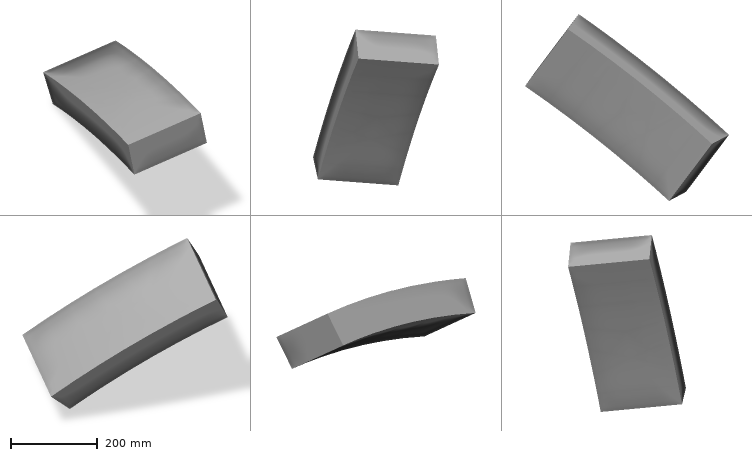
import cadquery as cq

length = 433.5
width = 190.5
height = 251.5

outer_start = (0.0, 67.5)
outer_middle = (173.5, 162.0)
outer_end = (404.5, height)
inner_start = (46.0, 0.0)
inner_middle = (211.0, 89.3)
inner_end = (length, 172.5)

profile = (
    cq.Workplane("XZ", origin=(0, width / 2, 0))
    .moveTo(*outer_start)
    .spline([outer_middle, outer_end], includeCurrent=True)
    .lineTo(*inner_end)
    .spline([inner_middle, inner_start], includeCurrent=True)
    .close()
)

result = profile.extrude(width)